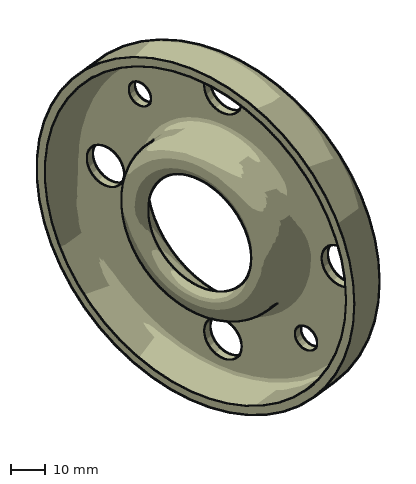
import cadquery as cq
import math

sheet = 3.0
inner_bend = 3.0
outer_bend = inner_bend + sheet

flange_radius = 57.5
rim_depth = 16.0
boss_depth = 16.5
boss_radius = 29.5
bore_radius = 19.0
lip_radius = sheet

bolt_circle_radius = 42.5
bolt_hole_diameter = 13.5
bolt_hole_count = 4
pin_hole_diameter = 8.0
pin_hole_angles = (135, 315)

back_y = boss_depth / 2
web_front_y = back_y - sheet
rim_edge_y = back_y - rim_depth
boss_face_y = back_y - boss_depth
boss_inside_y = boss_face_y + sheet
rim_inner_radius = flange_radius - sheet
boss_inner_radius = boss_radius - sheet


def fillet_midpoint(center_x, center_y, radius, direction_x, direction_y):
    """Middle of a quarter arc on the side given by the signs of its diagonal direction."""
    offset = radius * math.sqrt(0.5)
    return (center_x + direction_x * offset, center_y + direction_y * offset)


def pressed_shell():
    """Revolve the sheet section (X is the radius) about the Y axis."""
    rim_bend_x = flange_radius - outer_bend
    rim_bend_y = back_y - outer_bend
    root_bend_x = boss_radius + inner_bend
    root_bend_y = web_front_y - inner_bend
    boss_bend_x = boss_radius - outer_bend
    boss_bend_y = boss_face_y + outer_bend
    lip_x = bore_radius + lip_radius
    lip_y = boss_face_y + lip_radius

    section = (
        cq.Workplane("XY")
        .moveTo(flange_radius, rim_edge_y)
        .lineTo(rim_inner_radius, rim_edge_y)
        .lineTo(rim_inner_radius, rim_bend_y)
        .threePointArc(
            fillet_midpoint(rim_bend_x, rim_bend_y, inner_bend, 1, 1),
            (rim_bend_x, web_front_y),
        )
        .lineTo(root_bend_x, web_front_y)
        .threePointArc(
            fillet_midpoint(root_bend_x, root_bend_y, inner_bend, -1, 1),
            (boss_radius, root_bend_y),
        )
        .lineTo(boss_radius, boss_bend_y)
        .threePointArc(
            fillet_midpoint(boss_bend_x, boss_bend_y, outer_bend, 1, -1),
            (boss_bend_x, boss_face_y),
        )
        .lineTo(lip_x, boss_face_y)
        .threePointArc(
            fillet_midpoint(lip_x, lip_y, lip_radius, -1, -1),
            (bore_radius, lip_y),
        )
        .lineTo(boss_bend_x, boss_inside_y)
        .threePointArc(
            fillet_midpoint(boss_bend_x, boss_bend_y, inner_bend, 1, -1),
            (boss_inner_radius, boss_bend_y),
        )
        .lineTo(boss_inner_radius, root_bend_y)
        .threePointArc(
            fillet_midpoint(root_bend_x, root_bend_y, outer_bend, -1, 1),
            (root_bend_x, back_y),
        )
        .lineTo(rim_bend_x, back_y)
        .threePointArc(
            fillet_midpoint(rim_bend_x, rim_bend_y, outer_bend, 1, 1),
            (flange_radius, rim_bend_y),
        )
        .close()
    )
    return section.revolve(360, (0, 0, 0), (0, 1, 0))


def web_holes(angles, diameter):
    """Cylinders through the web on the bolt circle, at the given angles."""
    centers = []
    for angle in angles:
        x = bolt_circle_radius * math.cos(math.radians(angle))
        z = bolt_circle_radius * math.sin(math.radians(angle))
        centers.append((x, z))
    return (
        cq.Workplane("XZ", origin=(0, back_y, 0))
        .pushPoints(centers)
        .circle(diameter / 2)
        .extrude(sheet)
    )


bolt_hole_angles = [index * 360 / bolt_hole_count for index in range(bolt_hole_count)]

result = (
    pressed_shell()
    .cut(web_holes(bolt_hole_angles, bolt_hole_diameter))
    .cut(web_holes(pin_hole_angles, pin_hole_diameter))
)